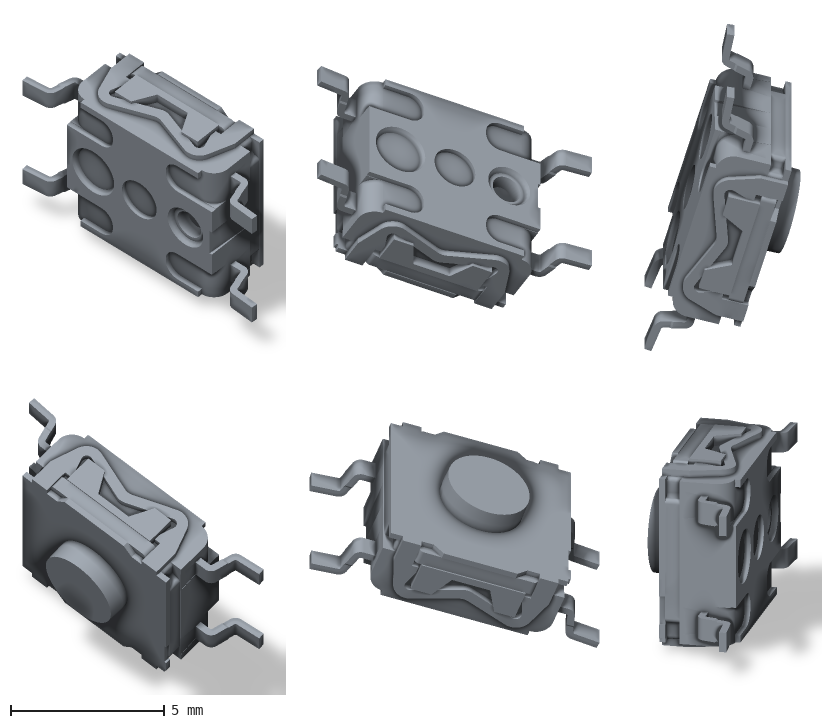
import cadquery as cq
import math

housing_half_width = 3.15
housing_half_height = 2.8
housing_depth = 1.9

rim_half_width = 3.1
rim_half_height = 3.1
rim_tongue_half_width = 2.05
rim_corner_x = 2.8
rim_corner_step_z = 2.13
rim_corner_z = housing_half_height
rim_radius = 0.15
rim_back = 2.4

cover_half_width = 3.12
cover_half_height = 2.82
cover_back = 2.6
tab_half_height = 3.13
tab_base_half_width = 1.62
tab_tip_half_width = 1.28
arm_outer_z = 3.04
arm_leg_outer_x = 2.7
arm_leg_inner_x = 2.06
arm_leg_bend_y = 1.67
arm_step_x = 1.84
arm_step_y = 1.69
arm_neck_y = 1.44
arm_neck_radius = 0.15
arm_inner_elbow = (2.14, 0.57)
arm_inner_elbow_radius = 0.19
arm_outer_elbow = (2.18, 0.17)
arm_outer_elbow_radius = 0.57
arm_inner_peak_y = 1.34
arm_outer_peak_y = 0.95
arm_peak_radius = 0.5
cover_notch_top = -1.22
cover_notch_bottom = -2.2
cover_notch_depth = 0.08
cover_corner_step = 0.15

hook_half_width = 1.8
hook_front = 0.84
hook_outer_z = 3.15
hook_notch_mouth = 1.09
hook_notch_floor = 0.66
hook_notch_back = 1.65

recess_depth = 0.19
corner_radius = 0.6
relief_inner_z = 1.43
pocket_inner_z = 1.41
pocket_outer_z = 2.55
pocket_inner_x = 1.15
pocket_radius = 0.51
recess_offset = 2.0
centre_recess_diameter = 1.5
large_recess_mouth = 1.82
large_recess_floor = 1.6
small_recess_mouth = 1.54
small_recess_floor = 1.3
blind_hole_mouth = 1.02
blind_hole_floor = 0.73
blind_hole_depth = 0.39
edge_nick_width = 1.0
edge_nick_depth = 0.1

lead_z = 2.0
lead_thickness = 0.24
lead_root_y = 1.05
lead_knee = (3.7, lead_root_y)
lead_ankle = (3.95, 0.1)
lead_toe = (4.99, 0.01)
lead_top = lead_root_y + lead_thickness / 2
bend_inner_radius = 0.07
bend_outer_radius = bend_inner_radius + lead_thickness
lead_root_width = 0.75
lead_foot_width = 0.67
lead_taper_start = 0.53
lead_taper_end = 0.46
lead_pad_width = 0.99
lead_pad_depth = 0.01

button_base_radius = 1.44
button_middle_radius = 1.43
button_top_radius = 1.41
button_back = 3.39

touching_distance = 0.0001


def rounded_outline(plane, corners):
    """Closed outline through corners (x, y, radius); each non-zero radius becomes a tangent arc."""
    outline = plane
    end = None
    for i, (x, y, radius) in enumerate(corners):
        before = corners[i - 1]
        after = corners[(i + 1) % len(corners)]
        into = cq.Vector(before[0] - x, before[1] - y).normalized()
        out = cq.Vector(after[0] - x, after[1] - y).normalized()
        corner = cq.Vector(x, y)
        half_angle = into.getAngle(out) / 2
        trim = radius / math.tan(half_angle)
        start = corner + into * trim
        if end is None:
            outline = outline.moveTo(start.x, start.y)
        elif (start - end).Length > touching_distance:
            outline = outline.lineTo(start.x, start.y)
        end = start
        if radius > 0:
            to_arc = radius / math.sin(half_angle) - radius
            middle = corner + (into + out).normalized() * to_arc
            end = corner + out * trim
            outline = outline.threePointArc((middle.x, middle.y), (end.x, end.y))
    return outline.close()


def mirrored(corners):
    """Reflect a half outline on +X to -X, in reverse so that it carries the outline on."""
    return [(-x, y, radius) for x, y, radius in reversed(corners)]


def facing_front(y):
    """Plane parallel to XZ at depth y; a negative extrusion goes toward +Y."""
    return cq.Workplane("XZ", origin=(0, y, 0))


def both_z_sides(shape):
    return [shape, shape.mirror("XY")]


def four_corners(shape):
    """A shape at one corner in X and Z and its copies at the other three corners."""
    return [copy for side in both_z_sides(shape) for copy in (side, side.mirror("YZ"))]


def make_cover_plate():
    """Flat plate with a notch and a corner step in its -X edge."""
    cover = cq.Workplane("XY").box(
        2 * cover_half_width, cover_back - rim_back, 2 * cover_half_height
    ).translate((0, (cover_back + rim_back) / 2, 0))
    recessed_edge_x = cover_notch_depth - cover_half_width
    notches = [
        (cover_notch_bottom, cover_notch_top),
        (-cover_half_height, cover_corner_step - cover_half_height),
    ]
    for bottom, top in notches:
        notch = facing_front(rim_back).polyline([
            (-cover_half_width, bottom),
            (-cover_half_width, top),
            (recessed_edge_x, top),
            (recessed_edge_x, bottom),
        ]).close().extrude(rim_back - cover_back)
        cover = cover.cut(notch)
    return cover


def make_cover_tab():
    """Tapered tab on the +Z edge of the plate."""
    return facing_front(rim_back).polyline([
        (-tab_base_half_width, cover_half_height),
        (-tab_tip_half_width, tab_half_height),
        (tab_tip_half_width, tab_half_height),
        (tab_base_half_width, cover_half_height),
    ]).close().extrude(rim_back - cover_back)


def make_arm():
    """Pair of legs joined by a wavy bar, on the +Z side."""
    inner_half = [
        (arm_leg_inner_x, cover_back, 0),
        (arm_leg_inner_x, arm_step_y, 0),
        (arm_step_x, arm_step_y, 0),
        (arm_step_x, arm_neck_y, arm_neck_radius),
        (*arm_inner_elbow, arm_inner_elbow_radius),
    ]
    outer_half = [
        (*arm_outer_elbow, arm_outer_elbow_radius),
        (arm_leg_outer_x, arm_leg_bend_y, 0),
        (arm_leg_outer_x, cover_back, 0),
    ]
    inner_peak = (0, arm_inner_peak_y, arm_peak_radius)
    outer_peak = (0, arm_outer_peak_y, arm_peak_radius)
    corners = inner_half + [inner_peak] + mirrored(inner_half)
    corners += mirrored(outer_half) + [outer_peak] + outer_half
    base = cq.Workplane("XY", origin=(0, 0, cover_half_height))
    return rounded_outline(base, corners).extrude(arm_outer_z - cover_half_height)


def make_cover():
    cover = make_cover_plate()
    for part in both_z_sides(make_cover_tab()) + both_z_sides(make_arm()):
        cover = cover.union(part)
    hole = facing_front(rim_back).circle(button_base_radius).extrude(rim_back - cover_back)
    return cover.cut(hole)


def make_rim():
    quarter = [
        (rim_half_width, rim_corner_step_z, rim_radius),
        (rim_corner_x, rim_corner_step_z, rim_radius),
        (rim_corner_x, rim_corner_z, rim_radius),
        (rim_tongue_half_width, rim_corner_z, 0),
        (rim_tongue_half_width, rim_half_height, rim_radius),
    ]
    lower_quarter = [(x, -z, radius) for x, z, radius in reversed(quarter)]
    half = lower_quarter + quarter
    outline = rounded_outline(facing_front(housing_depth), half + mirrored(half))
    return outline.extrude(housing_depth - rim_back)


def make_hook():
    return cq.Workplane("XY", origin=(0, 0, housing_half_height)).polyline([
        (-hook_half_width, housing_depth),
        (-hook_half_width, hook_front),
        (-hook_notch_mouth, hook_front),
        (-hook_notch_floor, hook_notch_back),
        (hook_notch_floor, hook_notch_back),
        (hook_notch_mouth, hook_front),
        (hook_half_width, hook_front),
        (hook_half_width, housing_depth),
    ]).close().extrude(hook_outer_z - housing_half_height)


def make_corner_relief():
    """Space outside the rounded vertical corner at -X, +Z."""
    arc_centre_x = corner_radius - housing_half_width
    arc_centre_y = corner_radius + recess_depth
    diagonal = corner_radius * math.sqrt(0.5)
    return (
        cq.Workplane("XY", origin=(0, 0, relief_inner_z))
        .moveTo(-housing_half_width, 0)
        .lineTo(arc_centre_x, 0)
        .lineTo(arc_centre_x, recess_depth)
        .threePointArc(
            (arc_centre_x - diagonal, arc_centre_y - diagonal),
            (-housing_half_width, arc_centre_y),
        )
        .close()
        .extrude(housing_half_height - relief_inner_z)
    )


def make_pocket():
    """Shallow round-ended pocket that opens into the corner relief at -X, +Z."""
    corners = [
        (-housing_half_width, pocket_inner_z, 0),
        (-pocket_inner_x, pocket_inner_z, pocket_radius),
        (-pocket_inner_x, pocket_outer_z, pocket_radius),
        (-housing_half_width, pocket_outer_z, 0),
    ]
    return rounded_outline(facing_front(0), corners).extrude(-recess_depth)


def make_lead_pad():
    """Shallow tapered relief on the -X face from the rim down to the lead."""
    return cq.Workplane("YZ", origin=(-housing_half_width, 0, lead_z)).polyline([
        (housing_depth, -lead_pad_width / 2),
        (housing_depth, lead_pad_width / 2),
        (lead_top, lead_root_width / 2),
        (lead_top, -lead_root_width / 2),
    ]).close().extrude(lead_pad_depth)


def make_round_recess(x, depth_start, depth, mouth_diameter, floor_diameter):
    """Round recess with a sloping wall, sunk toward +Y."""
    mouth = facing_front(depth_start).center(x, 0).circle(mouth_diameter / 2)
    return mouth.workplane(offset=-depth).circle(floor_diameter / 2).loft()


def make_edge_nick():
    """Wedge off the +X side, deepest at the front edge and running out at the rim."""
    return cq.Workplane("XY", origin=(0, 0, -edge_nick_width / 2)).polyline([
        (housing_half_width - edge_nick_depth, 0),
        (housing_half_width, 0),
        (housing_half_width, housing_depth),
    ]).close().extrude(edge_nick_width)


def make_housing(cover):
    housing = cq.Workplane("XY").box(
        2 * housing_half_width, housing_depth, 2 * housing_half_height
    ).translate((0, housing_depth / 2, 0))
    for part in [make_rim()] + both_z_sides(make_hook()):
        housing = housing.union(part)
    for feature in (make_corner_relief(), make_pocket(), make_lead_pad()):
        for copy in four_corners(feature):
            housing = housing.cut(copy)
    recesses = [
        make_round_recess(-recess_offset, 0, recess_depth, large_recess_mouth, large_recess_floor),
        make_round_recess(recess_offset, 0, recess_depth, small_recess_mouth, small_recess_floor),
        make_round_recess(
            recess_offset, recess_depth, blind_hole_depth, blind_hole_mouth, blind_hole_floor
        ),
        facing_front(0).circle(centre_recess_diameter / 2).extrude(-recess_depth),
        make_edge_nick(),
    ]
    for recess in recesses:
        housing = housing.cut(recess)
    return housing.cut(cover)


def make_button():
    return (
        cq.Workplane("XY")
        .moveTo(0, rim_back)
        .lineTo(button_base_radius, rim_back)
        .lineTo(button_base_radius, cover_back)
        .threePointArc(
            (button_middle_radius, (cover_back + button_back) / 2),
            (button_top_radius, button_back),
        )
        .lineTo(0, button_back)
        .close()
        .revolve(360, (0, 0, 0), (0, 1, 0))
    )


def make_lead():
    """Gull-wing lead on the +X side at +Z."""
    path = [cq.Vector(*p) for p in ((housing_half_width, lead_root_y), lead_knee, lead_ankle, lead_toe)]
    normals = []
    for start, end in zip(path, path[1:]):
        along = (end - start).normalized()
        normals.append(cq.Vector(-along.y, along.x))
    upper_radii = [0, bend_outer_radius, bend_inner_radius, 0]
    lower_radii = [0, bend_inner_radius, bend_outer_radius, 0]
    upper = []
    lower = []
    for i, point in enumerate(path):
        before = normals[max(i - 1, 0)]
        after = normals[min(i, len(normals) - 1)]
        mitre = (before + after) * (lead_thickness / 2 / (1 + before.dot(after)))
        upper.append((point.x + mitre.x, point.y + mitre.y, upper_radii[i]))
        lower.append((point.x - mitre.x, point.y - mitre.y, lower_radii[i]))
    strip = rounded_outline(
        cq.Workplane("XY", origin=(0, 0, lead_z - lead_root_width / 2)), upper + lower[::-1]
    ).extrude(lead_root_width)

    lead_bottom = lead_toe[1] - lead_thickness
    width_profile = cq.Workplane("YZ", origin=(0, 0, lead_z)).polyline([
        (lead_top, lead_root_width / 2),
        (lead_taper_start, lead_root_width / 2),
        (lead_taper_end, lead_foot_width / 2),
        (lead_bottom, lead_foot_width / 2),
        (lead_bottom, -lead_foot_width / 2),
        (lead_taper_end, -lead_foot_width / 2),
        (lead_taper_start, -lead_root_width / 2),
        (lead_top, -lead_root_width / 2),
    ]).close().extrude(lead_toe[0] + lead_thickness)
    return strip.intersect(width_profile)


cover = make_cover()
housing = make_housing(cover)
button = make_button()
leads = four_corners(make_lead())

result = cq.Compound.makeCompound(
    [housing.val(), cover.val(), button.val(), *[lead.val() for lead in leads]]
)